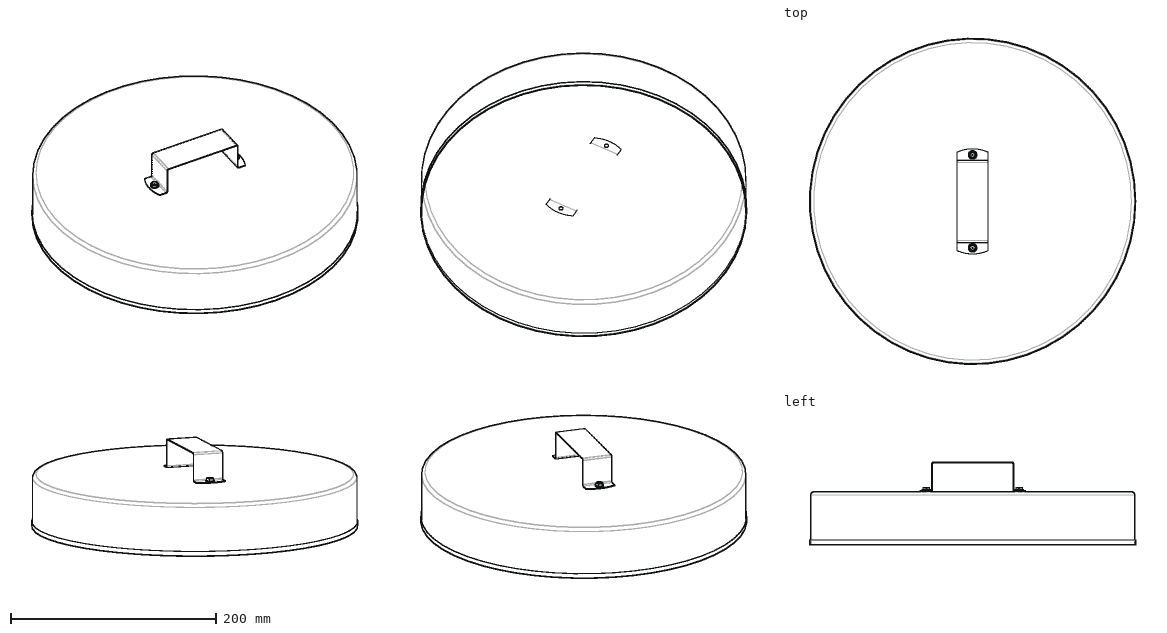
import cadquery as cq
import math

sheet = 0.5
rim_diameter = 318.05
fold_gap = 0.3
cover_height = 52.0
corner_radius = 3.5
hem_height = 5.0

hem_outer = rim_diameter / 2
hem_inner = hem_outer - sheet
wall_outer = hem_inner - fold_gap
wall_inner = wall_outer - sheet

overall_height = 81.0
strap = 1.0
strap_width = 30.0
handle_length = 80.0
bend_inner = 1.0
bend_outer = bend_inner + strap
foot_tip = 51.3
foot_corner = 48.0

screw_spacing = 90.5
shank_diameter = 4.0
flange_diameter = 8.4
flange_thickness = 0.8
hex_across_flats = 6.5
head_height = 3.2
head_taper_height = 0.8
head_top_diameter = 6.2
dish_diameter = 5.1
dish_depth = 0.5
pit_diameter = 1.0
pit_depth = 1.0

screw_places = [(0, -screw_spacing / 2), (0, screw_spacing / 2)]
cover_underside = cover_height - sheet
foot_top = cover_height + strap


def disc(x, y, z, diameter, height):
    """Upright cylinder whose base is centred on (x, y, z)."""
    return cq.Workplane("XY", origin=(x, y, z)).circle(diameter / 2).extrude(height)


def drill_screw_holes(body):
    """Cut a shank-sized hole through the cover and foot at each screw."""
    for x, y in screw_places:
        body = body.cut(disc(x, y, cover_underside, shank_diameter, sheet + strap))
    return body


def diagonal(radius):
    """Offset of a quarter arc's midpoint from its centre, along either axis."""
    return radius * math.sqrt(0.5)


def make_cover():
    corner_x = wall_outer - corner_radius
    corner_z = cover_height - corner_radius
    corner_inner = corner_radius - sheet
    profile = (
        cq.Workplane("XZ")
        .moveTo(0, cover_height)
        .lineTo(corner_x, cover_height)
        .threePointArc(
            (corner_x + diagonal(corner_radius), corner_z + diagonal(corner_radius)),
            (wall_outer, corner_z),
        )
        .lineTo(wall_outer, sheet)
        .lineTo(hem_inner, sheet)
        .lineTo(hem_inner, hem_height)
        .lineTo(hem_outer, hem_height)
        .lineTo(hem_outer, sheet)
        .threePointArc((hem_inner + diagonal(sheet), sheet - diagonal(sheet)), (hem_inner, 0))
        .lineTo(wall_outer, 0)
        .threePointArc((wall_outer - diagonal(sheet), sheet - diagonal(sheet)), (wall_inner, sheet))
        .lineTo(wall_inner, corner_z)
        .threePointArc(
            (corner_x + diagonal(corner_inner), corner_z + diagonal(corner_inner)),
            (corner_x, cover_underside),
        )
        .lineTo(0, cover_underside)
        .close()
    )
    return drill_screw_holes(profile.revolve(360, (0, 0, 0), (0, 1, 0)))


def make_handle():
    leg_outer = handle_length / 2
    leg_inner = leg_outer - strap
    grip_underside = overall_height - strap
    half_strip = (
        cq.Workplane("YZ")
        .moveTo(0, grip_underside)
        .lineTo(leg_inner - bend_inner, grip_underside)
        .tangentArcPoint((leg_inner, grip_underside - bend_inner), relative=False)
        .lineTo(leg_inner, cover_height + bend_outer)
        .tangentArcPoint((leg_inner + bend_outer, cover_height), relative=False)
        .lineTo(foot_tip, cover_height)
        .lineTo(foot_tip, foot_top)
        .lineTo(leg_outer + bend_inner, foot_top)
        .tangentArcPoint((leg_outer, foot_top + bend_inner), relative=False)
        .lineTo(leg_outer, overall_height - bend_outer)
        .tangentArcPoint((leg_outer - bend_outer, overall_height), relative=False)
        .lineTo(0, overall_height)
        .close()
        .extrude(strap_width / 2, both=True)
    )
    strip = half_strip.union(half_strip.mirror("XZ"))

    half_width = strap_width / 2
    outline = (
        cq.Workplane("XY", origin=(0, 0, cover_height))
        .moveTo(-half_width, -foot_corner)
        .threePointArc((0, -foot_tip), (half_width, -foot_corner))
        .lineTo(half_width, foot_corner)
        .threePointArc((0, foot_tip), (-half_width, foot_corner))
        .close()
        .extrude(overall_height - cover_height)
    )
    return drill_screw_holes(strip.intersect(outline))


def make_screw(x, y):
    head_top = foot_top + head_height
    taper_base = head_top - head_taper_height
    hex_across_corners = hex_across_flats / math.cos(math.pi / 6)

    hexagon = (
        cq.Workplane("XY", origin=(x, y, foot_top))
        .polygon(6, hex_across_corners)
        .extrude(head_height)
    )
    taper = (
        cq.Workplane("XY", origin=(x, y, taper_base))
        .circle(flange_diameter / 2)
        .workplane(offset=head_taper_height)
        .circle(head_top_diameter / 2)
        .loft()
    )
    envelope = disc(x, y, foot_top, flange_diameter, head_height - head_taper_height).union(taper)
    flange = disc(x, y, foot_top, flange_diameter, flange_thickness)
    shank = disc(x, y, cover_underside, shank_diameter, foot_top - cover_underside)
    dish_floor = head_top - dish_depth
    dish = disc(x, y, dish_floor, dish_diameter, dish_depth)
    pit = disc(x, y, dish_floor - pit_depth, pit_diameter, pit_depth)
    return hexagon.intersect(envelope).union(flange).union(shank).cut(dish).cut(pit)


cover = make_cover()
handle = make_handle()
screws = [make_screw(x, y) for x, y in screw_places]

result = cq.Compound.makeCompound([cover.val(), handle.val(), *[screw.val() for screw in screws]])